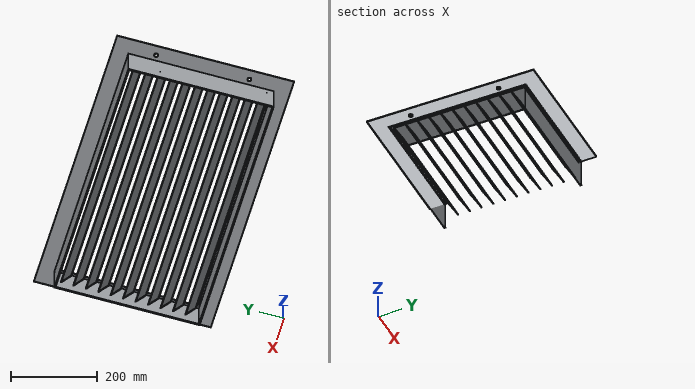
import cadquery as cq

flange_length = 675.0
flange_width = 425.0
flange_thickness = 2.15
opening_length = 583.0
opening_width = 335.0

total_height = 75.0
casing_length = 601.0
casing_width = 349.5
casing_wall = 3.0

hole_diameter = 9.0
hole_spacing_x = 627.0
hole_spacing_y = 224.0

slat_count = 11
slat_run = 26.0
slat_rise = 44.0
slat_edge = 1.5
slat_embed = 0.1
slat_top_z = -3.5
first_slat_y = -165.5
last_slat_y = 133.5
slat_pitch = (last_slat_y - first_slat_y) / (slat_count - 1)


def box_below(length, width, height, top_z):
    """Box centred on the Z axis with its top face at top_z."""
    return cq.Workplane("XY", origin=(0, 0, top_z)).rect(length, width).extrude(-height)


def make_flange():
    """Plate with a central opening and four screw holes."""
    plate = box_below(flange_length, flange_width, flange_thickness, 0)
    opening = box_below(opening_length, opening_width, flange_thickness, 0)
    holes = (
        cq.Workplane("XY")
        .rect(hole_spacing_x, hole_spacing_y, forConstruction=True)
        .vertices()
        .circle(hole_diameter / 2)
        .extrude(-flange_thickness)
    )
    return plate.cut(opening).cut(holes)


def make_casing():
    """Rectangular tube, open at the top and the bottom."""
    height = total_height - flange_thickness
    outer = box_below(casing_length, casing_width, height, -flange_thickness)
    inner_length = casing_length - 2 * casing_wall
    inner_width = casing_width - 2 * casing_wall
    inner = box_below(inner_length, inner_width, height, -flange_thickness)
    return outer.cut(inner)


def make_slat(front_y):
    """Inclined blade whose upper edge starts at front_y; its ends sink into the casing walls."""
    length = casing_length - 2 * casing_wall + 2 * slat_embed
    back_y = front_y + slat_run
    bottom_z = slat_top_z - slat_rise
    profile = [
        (front_y, slat_top_z),
        (front_y + slat_edge, slat_top_z),
        (back_y, bottom_z),
        (back_y - slat_edge, bottom_z),
    ]
    return cq.Workplane("YZ", origin=(-length / 2, 0, 0)).polyline(profile).close().extrude(length)


result = make_flange().union(make_casing())
for index in range(slat_count):
    result = result.union(make_slat(first_slat_y + index * slat_pitch))